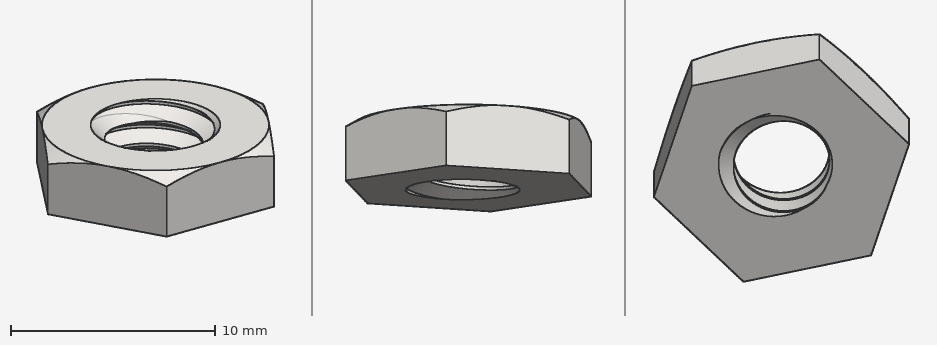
import cadquery as cq
import math

across_flats = 11.1125
hexagon_sides = 6
thickness = 3.175
corner_chamfer_angle = 30.0

major_diameter = 6.35
pitch = 1.27
minor_diameter = 4.7
flank_angle = 30.0
crest_flat = pitch / 8
groove_phase = 1.184

countersink_angle = 45.0

half_side_angle = 180 / hexagon_sides
corner_radius = across_flats / 2 / math.cos(math.radians(half_side_angle))
major_radius = major_diameter / 2
minor_radius = minor_diameter / 2
thread_depth = major_radius - minor_radius
blank_margin = 1.0
cutter_overlap = 0.1
lead_in_turns = 2
run_out_turns = 1


def slope(angle):
    return math.tan(math.radians(angle))


def hexagonal_body():
    """Hexagonal prism with corners on the Y axis and its upper corners turned off conically."""
    prism = (
        cq.Workplane("XY")
        .polygon(hexagon_sides, 2 * corner_radius)
        .extrude(thickness)
        .rotate((0, 0, 0), (0, 0, 1), half_side_angle)
    )
    blank_radius = corner_radius + blank_margin
    blank_drop = (blank_radius - across_flats / 2) * slope(corner_chamfer_angle)
    turned_blank = (
        cq.Workplane("XZ")
        .moveTo(0, 0)
        .lineTo(blank_radius, 0)
        .lineTo(blank_radius, thickness - blank_drop)
        .lineTo(across_flats / 2, thickness)
        .lineTo(0, thickness)
        .close()
        .revolve(360, (0, 0, 0), (0, 1, 0))
    )
    return prism.intersect(turned_blank)


def countersunk_bore():
    """Minor-diameter bore with a conical mouth at the top."""
    countersink_depth = thread_depth / slope(countersink_angle)
    return (
        cq.Workplane("XZ")
        .moveTo(0, 0)
        .lineTo(minor_radius, 0)
        .lineTo(minor_radius, thickness - countersink_depth)
        .lineTo(major_radius, thickness)
        .lineTo(0, thickness)
        .close()
        .revolve(360, (0, 0, 0), (0, 1, 0))
    )


def thread_groove():
    """Right-hand helical groove running out past both faces, closed by a flat profile at each end."""
    start_height = groove_phase - lead_in_turns * pitch
    helix_length = (lead_in_turns + math.ceil(thickness / pitch) + run_out_turns) * pitch
    mouth_radius = minor_radius - cutter_overlap
    mouth_half = (pitch - crest_flat) / 2 + cutter_overlap * slope(flank_angle)
    root_half = (pitch - crest_flat) / 2 - thread_depth * slope(flank_angle)
    profile = [
        (mouth_radius, -mouth_half),
        (major_radius, -root_half),
        (major_radius, root_half),
        (mouth_radius, mouth_half),
    ]
    helices = []
    for radius, offset in profile:
        helix = cq.Wire.makeHelix(pitch, helix_length, radius)
        helices.append(helix.translate(cq.Vector(0, 0, start_height + offset)))
    faces = []
    for index, helix in enumerate(helices):
        faces.append(cq.Face.makeRuledSurface(helices[index - 1], helix))
    for end in (0, 1):
        corners = [helix.positionAt(end) for helix in helices]
        faces.append(cq.Face.makeFromWires(cq.Wire.makePolygon(corners, close=True)))
    return cq.Workplane(obj=cq.Solid.makeSolid(cq.Shell.makeShell(faces)).fix())


result = hexagonal_body().cut(thread_groove(), clean=False).cut(countersunk_bore(), clean=False)